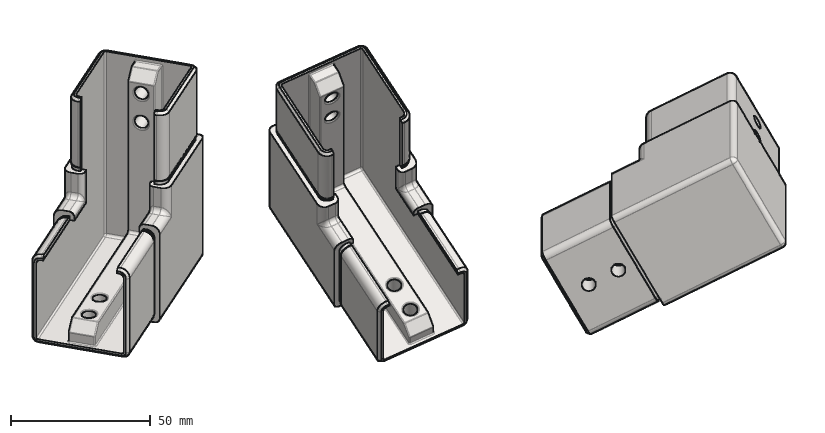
import cadquery as cq

length = 80.0
width = 40.0
elbow_reach = 50.0
elbow_outer_round = 2.0
elbow_lip_round = 3.0
elbow_lip_width = 7.8
lip_edge_round = 2.0
inner_corner_round = 2.0

sleeve_step = 1.6
sleeve_back_round = 2.6
sleeve_lip_round = 3.6
sleeve_lip_width = 4.5
sleeve_chamfer = 1.0
groove_length = 1.6
groove_depth = 0.3

wall = 1.9
floor_round = 1.0

rib_width = 10.0
rib_height = 8.0
rib_end_gap = 1.8
rib_slope = 4.0
rib_edge_round = 0.4

hole_diameter = 5.0
hole_chamfer = 0.5
hole_positions = (58.0, 70.0)

inner_face = sleeve_step + wall
lip_face = width - inner_face
sleeve_width = width - 2 * sleeve_step
rib_top = inner_face + rib_height
rib_end = length - rib_end_gap
overshoot = 8.0
beyond = length + overshoot
tolerance = 0.01


def to_level_leg(upright):
    """Swing an upright-leg feature onto the level leg (half turn about the mitre line)."""
    return upright.rotate((0, 0, 0), (0, 1, -1), 180)


def on_both_legs(upright):
    return upright.union(to_level_leg(upright))


def angle_prism(near, far, reach, prism_width):
    """L-shaped prism centred on X, between two depths from the outer faces."""
    outline = [(-near, near), (-near, reach), (-far, reach), (-far, far), (-reach, far), (-reach, near)]
    return cq.Workplane("YZ").polyline(outline).close().extrude(prism_width / 2, both=True)


def box_between(x_range, y_range, z_range):
    size = [high - low for low, high in (x_range, y_range, z_range)]
    corner = (x_range[0], y_range[0], z_range[0])
    return cq.Workplane("XY").box(*size, centered=False).translate(corner)


def near_point(solid, points):
    """Edges whose centre lies at one of the points."""
    targets = [cq.Vector(*point) for point in points]
    edges = []
    for edge in solid.edges().vals():
        if any((edge.Center() - target).Length < tolerance for target in targets):
            edges.append(edge)
    return solid.newObject(edges)


def make_elbow():
    body = angle_prism(0, width, elbow_reach, width)
    half = width / 2
    mid_outer = elbow_reach / 2
    mid_inner = (width + elbow_reach) / 2
    outer = [(0, 0, 0)]
    inner = []
    for x in (-half, half):
        outer += [(x, 0, mid_outer), (x, -mid_outer, 0)]
        inner += [(x, -width, mid_inner), (x, -mid_inner, width)]
    body = near_point(body, outer).fillet(elbow_outer_round)
    body = near_point(body, inner).fillet(elbow_lip_round)

    slot_half = half - elbow_lip_width
    body = body.cut(box_between((-slot_half, slot_half), (-beyond, -lip_face), (lip_face, beyond)))
    free = []
    for x in (-slot_half, slot_half):
        free += [(x, -width, mid_inner), (x, -mid_inner, width)]
    body = near_point(body, free).fillet(lip_edge_round)
    flat_mid = half - (elbow_lip_round + elbow_lip_width - lip_edge_round) / 2
    crease = [(x, -width, width) for x in (-flat_mid, flat_mid)]
    return near_point(body, crease).fillet(inner_corner_round)


def sleeve_section(start, end, inset):
    """Solid stretch of the upright sleeve from z = start to end, shrunk all round by inset."""
    half = sleeve_width / 2 - inset
    near = -sleeve_step - inset
    far = -(width - sleeve_step - inset)
    section = box_between((-half, half), (far, near), (start, end))
    section = section.edges("|Z and >Y").fillet(sleeve_back_round - inset)
    return section.edges("|Z and <Y").fillet(sleeve_lip_round - inset)


def make_sleeve():
    groove_end = elbow_reach + groove_length
    groove = sleeve_section(elbow_reach - groove_length, groove_end, groove_depth)
    sleeve = sleeve_section(groove_end, length, 0).faces(">Z").chamfer(sleeve_chamfer).union(groove)
    slot_half = sleeve_width / 2 - sleeve_lip_width
    return sleeve.cut(box_between((-slot_half, slot_half), (-width, -lip_face), (0, beyond)))


def make_cavity():
    half = width / 2 - inner_face
    cavity = angle_prism(inner_face, lip_face, beyond, 2 * half)
    side_edges = []
    lip_edges = []
    mid_lip = (lip_face + beyond) / 2
    for x in (-half, half):
        side_edges += [(x, -inner_face, (inner_face + floor_round + beyond) / 2)]
        lip_edges += [(x, -lip_face, mid_lip), (x, -mid_lip, lip_face)]
    cavity = near_point(cavity, lip_edges).fillet(sleeve_lip_round - wall)
    cavity = near_point(cavity, [(0, -inner_face, inner_face)]).fillet(floor_round)
    return near_point(cavity, side_edges).fillet(sleeve_back_round - wall)


def make_rib():
    slope_start = rib_end - rib_slope
    end_top = rib_top - rib_slope
    outline = [
        (-inner_face, inner_face),
        (-inner_face, rib_end),
        (-end_top, rib_end),
        (-rib_top, slope_start),
        (-rib_top, rib_top),
        (-slope_start, rib_top),
        (-rib_end, end_top),
        (-rib_end, inner_face),
    ]
    rib = cq.Workplane("YZ").polyline(outline).close().extrude(rib_width / 2, both=True)
    rib = near_point(rib, [(0, -rib_top, rib_top)]).fillet(floor_round)
    exposed = cq.selectors.BoxSelector(
        (-width, -beyond, inner_face + tolerance),
        (width, -inner_face - tolerance, beyond),
    )
    return rib.edges(exposed).fillet(rib_edge_round)


def make_holes():
    holes = None
    for z in hole_positions:
        hole = cq.Workplane("XZ", origin=(0, 0, z)).circle(hole_diameter / 2).extrude(rib_top)
        sink = (
            cq.Workplane("XZ", origin=(0, -rib_top, z))
            .circle(hole_diameter / 2 + hole_chamfer)
            .workplane(offset=-hole_chamfer)
            .circle(hole_diameter / 2)
            .loft()
        )
        hole = hole.union(sink)
        holes = hole if holes is None else holes.union(hole)
    return holes


def round_rib_foot(body):
    """Blend the rib into the back wall, the floor and the rounded corner between them."""
    side = rib_width / 2 + tolerance
    low = inner_face - tolerance
    high = inner_face + tolerance
    corner = inner_face + floor_round + tolerance
    on_back = cq.selectors.BoxSelector((-side, -high, low), (side, -low, length), boundingbox=True)
    on_floor = cq.selectors.BoxSelector((-side, -length, low), (side, -low, high), boundingbox=True)
    in_corner = cq.selectors.BoxSelector((-side, -corner, low), (side, -low, corner), boundingbox=True)
    return body.edges(on_back + on_floor + in_corner).fillet(rib_edge_round)


def round_hole_rims(body):
    rims = []
    for position in hole_positions:
        rims += [(0, -rib_top, position), (0, -position, rib_top)]
    return near_point(body, rims).fillet(rib_edge_round)


shell = make_elbow().union(on_both_legs(make_sleeve())).cut(make_cavity())
ribbed = round_rib_foot(shell.union(make_rib()))
drilled = ribbed.cut(on_both_legs(make_holes()))
result = round_hole_rims(drilled)